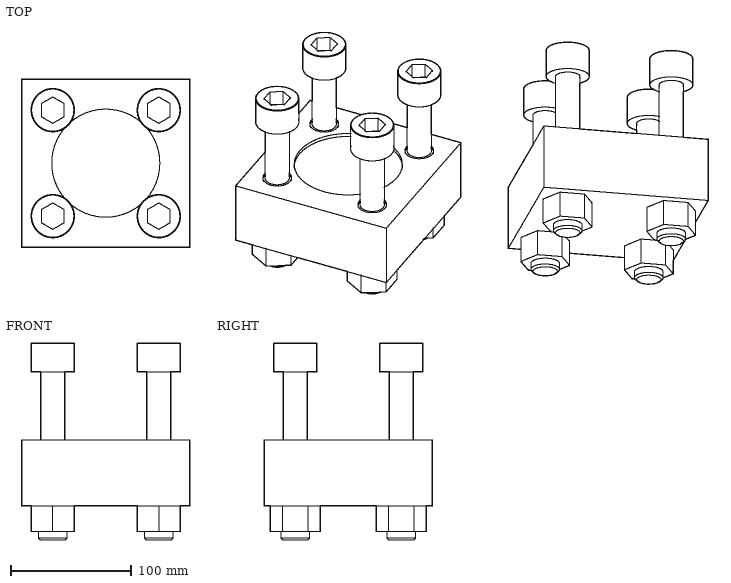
import cadquery as cq
import math

block_side = 140.0
block_height = 55.0
recess_diameter = 90.0
recess_depth = 3.0

bolt_spacing = 88.2

overall_height = 164
shank_diameter = 20.3
thread_diameter = 24.0
thread_chamfer = (thread_diameter - shank_diameter) / 2
head_diameter = 36
head_height = 24.0
head_chamfer = 0.5
socket_flats = 19.0
socket_depth = 13.0

nut_flats = head_diameter
nut_height = 21.5
thread_protrusion = 7.0

bolt_bottom = -nut_height - thread_protrusion
bolt_top = bolt_bottom + overall_height
head_underside = bolt_top - head_height


def hexagon_prism(across_flats, height, base_z):
    """Upright hexagonal prism with two of its flats facing +X and -X."""
    across_corners = across_flats / math.cos(math.radians(30))
    return (
        cq.Workplane("XY", origin=(0, 0, base_z))
        .transformed(rotate=(0, 0, 90))
        .polygon(6, across_corners)
        .extrude(height)
    )


def make_block():
    """Plain block with a shallow round recess in its top face."""
    block = cq.Workplane("XY").rect(block_side, block_side).extrude(block_height)
    recess = (
        cq.Workplane("XY", origin=(0, 0, block_height - recess_depth))
        .circle(recess_diameter / 2)
        .extrude(recess_depth)
    )
    return block.cut(recess)


def make_bolt():
    """Turned bolt on the Z axis with a hexagonal socket in its head."""
    shank_radius = shank_diameter / 2
    thread_radius = thread_diameter / 2
    head_radius = head_diameter / 2
    profile = [
        (0, bolt_bottom),
        (shank_radius, bolt_bottom),
        (thread_radius, bolt_bottom + thread_chamfer),
        (thread_radius, block_height - thread_chamfer),
        (shank_radius, block_height),
        (shank_radius, head_underside),
        (head_radius, head_underside),
        (head_radius, bolt_top - head_chamfer),
        (head_radius - head_chamfer, bolt_top),
        (0, bolt_top),
    ]
    bolt = cq.Workplane("XZ").polyline(profile).close().revolve(360, (0, 0), (0, 1))
    socket = hexagon_prism(socket_flats, socket_depth, bolt_top - socket_depth)
    return bolt.cut(socket)


def make_hole_mouth():
    """Top of the bolt hole, left open around the chamfered end of the thread."""
    return (
        cq.Workplane("XY", origin=(0, 0, block_height - thread_chamfer))
        .circle(thread_diameter / 2)
        .extrude(thread_chamfer)
    )


hole_mouth = make_hole_mouth()
bolt_and_nut = make_bolt().union(hexagon_prism(nut_flats, nut_height, -nut_height))

result = make_block()
for x_side in (-1, 1):
    for y_side in (-1, 1):
        position = (x_side * bolt_spacing / 2, y_side * bolt_spacing / 2, 0)
        result = result.cut(hole_mouth.translate(position))
        result = result.union(bolt_and_nut.translate(position))